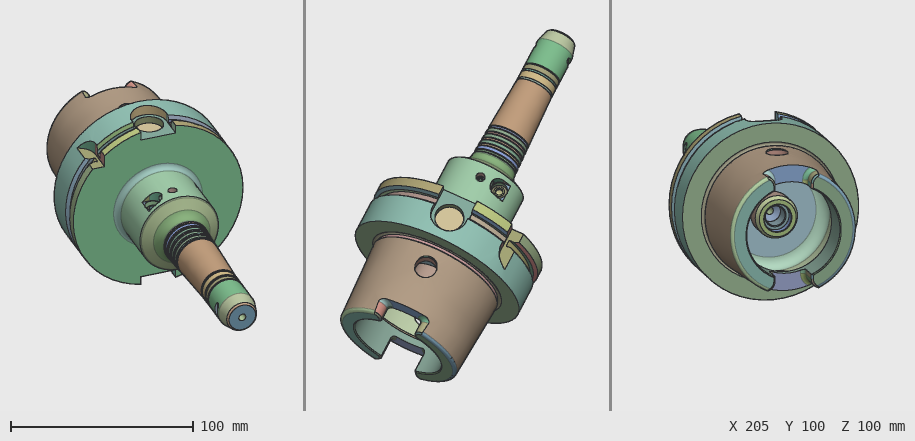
import cadquery as cq
import math

ARC_BULGE = 1 - math.sqrt(0.5)

length = 205.0

shank_rim_radius = 35.5
shank_end_radius = 38.0
shank_end_x = 47.2
rim_fillet = 1.8
relief_x = 47.8
relief_radius = 37.1
face_recess_radius = 39.4
face_recess_depth = 0.8

flange_radius = 50.0
flange_start_x = 49.5
flange_end_x = 78.5
flange_groove_start_x = 68.0
flange_groove_end_x = 71.8
flange_groove_radius = 46.0
groove_edge_width = 1.2
groove_edge_depth = 2.0

collar_radius = 23.2
collar_root_fillet = 3.0
collar_end_x = 110.0
collar_edge_x = 110.7
shoulder_angle = math.radians(60)
shoulder_fillet = 7.2

neck_start_x = 120.0
neck_start_radius = 13.1
neck_end_x = 170.5
tip_diameter = 21.5
tip_radius = tip_diameter / 2
tip_cone_x = 197.0
tip_cone_end_radius = 8.8
tip_chamfer = 1.0

neck_groove_count = 5
neck_groove_first_x = 121.8
neck_groove_last_x = 137.8
neck_groove_pitch = (neck_groove_last_x - neck_groove_first_x) / (neck_groove_count - 1)
neck_groove_floor_width = 1.0
neck_groove_top_width = 2.0
neck_groove_depth = 0.3

tip_rings = [(170.5, 171.8), (176.0, 177.3), (180.5, 181.0)]
tip_ring_diameter = 21.0

cavity_radius = 26.5
cavity_chamfer = 0.6
undercut_start_x = 18.9
undercut_radius = 31.5
undercut_angle = math.radians(60)
cavity_floor_fillet = 6.4
cavity_floor_x = 47.2
boss_diameter = 24.0
boss_nose_diameter = 21.0
boss_x = 34.0
boss_nose_end_x = 37.1

drill_half_angle = math.radians(59)

bore_mouth_diameter = 16.0
bore_diameter = 15.4
bore_step_x = 39.0
bore_inner_diameter = 11.0
bore_inner_edge_diameter = 12.0
bore_cone_x = 49.2
through_diameter = 4.0

drive_half_width = 10.2
drive_top_depth = 10.0
drive_bottom_depth = 14.8
drive_flare_z = 27.0
drive_flare_radius = 5.3
drive_root_fillet = 2.5
drive_edge_chamfer = 1.0

cross_hole_x = 35.3
cross_hole_diameter = 12.0
cross_hole_sink_diameter = 13.1

keyway_radius = 10.2
keyway_x = 64.8
keyway_floor_z = 44.0
chip_hole_diameter = 16.0
chip_hole_depth = 4.0
notch_floor_z = 31.8
notch_wall_y = -31.5

collar_hole_x = 102.0
socket_depth = 2.0
plain_bore_y = -0.8
plain_bore_diameter = 5.0
plain_bore_screw_z = 19.5
plain_screw_top_diameter = 3.0
plain_socket_diameter = 2.3
recess_bore_diameter = 9.0
recess_bore_screw_z = 14.4
recess_screw_top_diameter = 5.7
recess_socket_diameter = 4.0

recess_y = -12.3
recess_width = 10.0
recess_floor_z = 16.0
back_hole_diameter = 4.7
back_hole_z = 18.5
back_hole_end_y = -4.0

tip_notch_start_x = 192.3
tip_notch_floor_width = 1.8
tip_notch_x = tip_notch_start_x + tip_notch_floor_width / 2
tip_notch_top_width = 3.9
tip_notch_depth = 1.0


def turn(outline):
    """Revolve a closed outline drawn in X (along) and Y (radius) about the X axis."""
    return outline.close().revolve(360, (0, 0, 0), (1, 0, 0))


def make_body():
    neck_slope = math.atan((neck_start_radius - tip_radius) / (neck_end_x - neck_start_x))
    center_x = neck_start_x + shoulder_fillet * math.sin(neck_slope)
    center_r = neck_start_radius + shoulder_fillet * math.cos(neck_slope)

    def on_shoulder_arc(angle):
        return (center_x - shoulder_fillet * math.sin(angle), center_r - shoulder_fillet * math.cos(angle))

    arc_start = on_shoulder_arc(shoulder_angle)
    arc_middle = on_shoulder_arc((shoulder_angle + neck_slope) / 2)
    collar_edge_radius = arc_start[1] + (arc_start[0] - collar_edge_x) * math.tan(shoulder_angle)
    fillet_bulge = collar_root_fillet * ARC_BULGE
    rim_bulge = rim_fillet * ARC_BULGE
    groove_edge_radius = flange_radius - groove_edge_depth

    outline = (
        cq.Workplane("XY")
        .moveTo(0, 0)
        .lineTo(0, shank_rim_radius - rim_fillet)
        .threePointArc((rim_bulge, shank_rim_radius - rim_bulge), (rim_fillet, shank_rim_radius))
        .lineTo(shank_end_x, shank_end_radius)
        .lineTo(relief_x, relief_radius)
        .lineTo(flange_start_x, relief_radius)
        .threePointArc(
            (flange_start_x + face_recess_depth, (relief_radius + face_recess_radius) / 2),
            (flange_start_x, face_recess_radius),
        )
        .lineTo(flange_start_x, flange_radius)
        .lineTo(flange_groove_start_x - groove_edge_width, flange_radius)
        .lineTo(flange_groove_start_x, groove_edge_radius)
        .lineTo(flange_groove_start_x, flange_groove_radius)
        .lineTo(flange_groove_end_x, flange_groove_radius)
        .lineTo(flange_groove_end_x, groove_edge_radius)
        .lineTo(flange_groove_end_x + groove_edge_width, flange_radius)
        .lineTo(flange_end_x, flange_radius)
        .lineTo(flange_end_x, collar_radius + collar_root_fillet)
        .threePointArc(
            (flange_end_x + fillet_bulge, collar_radius + fillet_bulge),
            (flange_end_x + collar_root_fillet, collar_radius),
        )
        .lineTo(collar_end_x, collar_radius)
        .lineTo(collar_edge_x, collar_edge_radius)
        .lineTo(*arc_start)
        .threePointArc(arc_middle, (neck_start_x, neck_start_radius))
        .lineTo(neck_end_x, tip_radius)
        .lineTo(tip_cone_x, tip_radius)
        .lineTo(length - tip_chamfer, tip_cone_end_radius)
        .lineTo(length, tip_cone_end_radius - tip_chamfer)
        .lineTo(length, 0)
    )
    return turn(outline)


def make_cavity():
    undercut_full_x = undercut_start_x + (undercut_radius - cavity_radius) / math.tan(undercut_angle)
    fillet_bulge = cavity_floor_fillet * ARC_BULGE
    outline = (
        cq.Workplane("XY")
        .moveTo(0, 0)
        .lineTo(0, cavity_radius + cavity_chamfer)
        .lineTo(cavity_chamfer, cavity_radius)
        .lineTo(undercut_start_x, cavity_radius)
        .lineTo(undercut_full_x, undercut_radius)
        .lineTo(cavity_floor_x - cavity_floor_fillet, undercut_radius)
        .threePointArc(
            (cavity_floor_x - fillet_bulge, undercut_radius - fillet_bulge),
            (cavity_floor_x, undercut_radius - cavity_floor_fillet),
        )
        .lineTo(cavity_floor_x, boss_diameter / 2)
        .lineTo(boss_nose_end_x, boss_diameter / 2)
        .lineTo(boss_x, boss_nose_diameter / 2)
        .lineTo(boss_x, 0)
    )
    return turn(outline)


def make_bore():
    mouth_chamfer = (bore_mouth_diameter - bore_diameter) / 2
    inner_chamfer = (bore_inner_edge_diameter - bore_inner_diameter) / 2
    cone_length = (bore_inner_diameter - through_diameter) / 2 / math.tan(drill_half_angle)
    outline = (
        cq.Workplane("XY")
        .moveTo(boss_x, 0)
        .lineTo(boss_x, bore_mouth_diameter / 2)
        .lineTo(boss_x + mouth_chamfer, bore_diameter / 2)
        .lineTo(bore_step_x, bore_diameter / 2)
        .lineTo(bore_step_x, bore_inner_edge_diameter / 2)
        .lineTo(bore_step_x + inner_chamfer, bore_inner_diameter / 2)
        .lineTo(bore_cone_x, bore_inner_diameter / 2)
        .lineTo(bore_cone_x + cone_length, through_diameter / 2)
        .lineTo(length, through_diameter / 2)
        .lineTo(length, 0)
    )
    return turn(outline)


def make_neck_groove(index):
    middle = neck_groove_first_x + index * neck_groove_pitch
    along = (middle - neck_start_x) / (neck_end_x - neck_start_x)
    surface_radius = neck_start_radius + along * (tip_radius - neck_start_radius)
    flare = (neck_groove_top_width - neck_groove_floor_width) / 2
    half_floor = neck_groove_floor_width / 2
    floor_radius = surface_radius - neck_groove_depth
    clear_radius = surface_radius + neck_groove_depth
    outline = (
        cq.Workplane("XY")
        .moveTo(middle - half_floor, floor_radius)
        .lineTo(middle + half_floor, floor_radius)
        .lineTo(middle + half_floor + 2 * flare, clear_radius)
        .lineTo(middle - half_floor - 2 * flare, clear_radius)
    )
    return turn(outline)


def make_tip_ring(start_x, end_x):
    ring = cq.Workplane("YZ").workplane(offset=start_x).circle(neck_start_radius)
    return ring.circle(tip_ring_diameter / 2).extrude(end_x - start_x)


def drive_slot_outline(widening):
    """Slot section across X: parallel walls that flare outward in an arc near the rim."""
    half = drive_half_width + widening
    flare = drive_flare_radius - widening
    corner = flare * ARC_BULGE
    outer_y = half + flare
    bulge_z = drive_flare_z + flare - corner
    return (
        cq.Workplane("YZ")
        .moveTo(-half, 0)
        .lineTo(-half, drive_flare_z)
        .threePointArc((-half - corner, bulge_z), (-outer_y, drive_flare_z + flare))
        .lineTo(-outer_y, flange_radius)
        .lineTo(outer_y, flange_radius)
        .lineTo(outer_y, drive_flare_z + flare)
        .threePointArc((half + corner, bulge_z), (half, drive_flare_z))
        .lineTo(half, 0)
        .close()
    )


def make_drive_slot(depth):
    slot = drive_slot_outline(0).extrude(depth)
    slot = slot.faces(">X").edges().fillet(drive_root_fillet)
    mouth = drive_slot_outline(drive_edge_chamfer).extrude(drive_edge_chamfer, taper=45)
    return slot.union(mouth)


def make_cross_hole():
    hole_radius = cross_hole_diameter / 2
    sink_radius = cross_hole_sink_diameter / 2
    along = cross_hole_x / shank_end_x
    surface_z = shank_rim_radius + along * (shank_end_radius - shank_rim_radius)
    sink_bottom_z = surface_z - (sink_radius - hole_radius)
    start_z = boss_diameter
    outline = (
        cq.Workplane("XZ")
        .moveTo(0, start_z)
        .lineTo(hole_radius, start_z)
        .lineTo(hole_radius, sink_bottom_z)
        .lineTo(sink_radius, surface_z)
        .lineTo(sink_radius, flange_radius)
        .lineTo(0, flange_radius)
        .close()
    )
    hole = outline.revolve(360, (0, 0, 0), (0, 1, 0))
    return hole.translate((cross_hole_x, 0, 0))


def make_keyway(floor_z, center_y):
    """Round-ended slot that leaves the flange through its +X face."""
    height = flange_radius - floor_z
    floor = cq.Workplane("XY", origin=(keyway_x, center_y, floor_z))
    round_end = floor.circle(keyway_radius).extrude(height)
    channel = floor.box(flange_end_x - keyway_x, 2 * keyway_radius, height, centered=(False, True, False))
    return round_end.union(channel)


def make_chip_hole():
    plane = cq.Workplane("XY", origin=(keyway_x, 0, keyway_floor_z - chip_hole_depth))
    return plane.circle(chip_hole_diameter / 2).extrude(chip_hole_depth)


def make_screw_bore(center_y, top_z, screw_z, bore_size, screw_top_size, socket_size):
    """Bore along Z down to a set screw: a 45 degree bevel round its head and a cone-ended socket."""
    bevel = (bore_size - screw_top_size) / 2
    socket_end_z = screw_z - socket_depth
    cone_depth = socket_size / 2 / math.tan(drill_half_angle)
    outline = (
        cq.Workplane("XZ")
        .moveTo(0, top_z)
        .lineTo(bore_size / 2, top_z)
        .lineTo(bore_size / 2, screw_z - bevel)
        .lineTo(screw_top_size / 2, screw_z)
        .lineTo(socket_size / 2, screw_z)
        .lineTo(socket_size / 2, socket_end_z)
        .lineTo(0, socket_end_z - cone_depth)
        .close()
    )
    bore = outline.revolve(360, (0, 0, 0), (0, 1, 0))
    return bore.translate((collar_hole_x, center_y, 0))


def make_recess():
    """Flat-floored recess, round toward the axis and open toward -Y."""
    floor = cq.Workplane("XY", origin=(collar_hole_x, recess_y, recess_floor_z))
    height = collar_radius - recess_floor_z
    round_side = floor.circle(recess_width / 2).extrude(height)
    open_side = floor.center(0, -recess_width / 2).rect(recess_width, recess_width).extrude(height)
    return round_side.union(open_side)


def make_back_hole():
    plane = cq.Workplane("XZ", origin=(collar_hole_x, back_hole_end_y, back_hole_z))
    return plane.circle(back_hole_diameter / 2).extrude(back_hole_end_y - recess_y)


def make_tip_notch():
    half_floor = tip_notch_floor_width / 2
    half_top = tip_notch_top_width / 2
    floor_y = tip_notch_depth - tip_radius
    return (
        cq.Workplane("XY")
        .moveTo(tip_notch_x - half_floor, floor_y)
        .lineTo(tip_notch_x + half_floor, floor_y)
        .lineTo(tip_notch_x + half_top, -tip_radius)
        .lineTo(tip_notch_x - half_top, -tip_radius)
        .close()
        .extrude(tip_radius, both=True)
    )


def flipped(cutter):
    """The same cutter turned half way round the X axis."""
    return cutter.rotate((0, 0, 0), (1, 0, 0), 180)


body = make_body()

for groove_index in range(neck_groove_count):
    body = body.cut(make_neck_groove(groove_index))
for ring_start, ring_end in tip_rings:
    body = body.cut(make_tip_ring(ring_start, ring_end))

body = body.cut(make_cavity()).cut(make_bore())
body = body.cut(make_drive_slot(drive_top_depth))
body = body.cut(flipped(make_drive_slot(drive_bottom_depth)))

for cutter in (make_cross_hole(), make_keyway(keyway_floor_z, 0), make_tip_notch()):
    body = body.cut(cutter).cut(flipped(cutter))

body = body.cut(make_chip_hole())
body = body.cut(make_keyway(notch_floor_z, notch_wall_y - keyway_radius))

plain_bore = make_screw_bore(
    plain_bore_y,
    collar_radius,
    plain_bore_screw_z,
    plain_bore_diameter,
    plain_screw_top_diameter,
    plain_socket_diameter,
)
recess_bore = make_screw_bore(
    recess_y,
    recess_floor_z,
    recess_bore_screw_z,
    recess_bore_diameter,
    recess_screw_top_diameter,
    recess_socket_diameter,
)
for cutter in (make_recess(), make_back_hole(), plain_bore, recess_bore):
    body = body.cut(cutter)

result = body